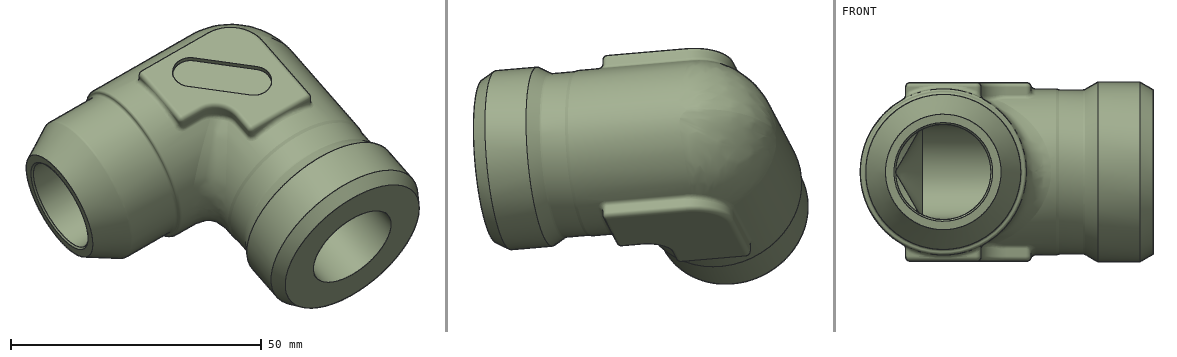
import cadquery as cq
import math

arm_reach = 42.0
body_radius = 33.25 / 2
bend_outer_radius = 15.0
bend_inner_radius = 5.0

body_end_x = 22.55
neck_radius = 32.9 / 2
neck_start = 23.2
neck_end = 28.2
neck_fillet = 0.7
collar_radius = 36.0 / 2
cone_angle = 30.0
collar_end_chamfer = 2.7

body_end_y = 24.1
spigot_radius = 31.0 / 2
spigot_step_round = (body_radius - spigot_radius) / 2
spigot_taper_length = 6.85
spigot_shoulder_fillet = 0.8

bore_radius = 19.0 / 2
bore_overrun_x = 4.15
bore_overrun_y = 0.0
drill_half_angle = 60.0
mouth_chamfer = 0.35

pad_height = 17.9
pad_half_width = 7.55
pad_end = 17.6
pad_outer_corner = 8.0
pad_inner_corner = 5.0
pad_round = 0.95
pad_base_fillet = 0.95

recess_length = 20.0
recess_width = 7.15
recess_depth = 1.0
recess_center = (3.25, -4.45)
recess_angle = 45.0

cone_slope = math.tan(math.radians(cone_angle))


def turned_on_x(points):
    """Solid of revolution about X from a closed outline of (x, radius) points."""
    return cq.Workplane("XY").polyline(points).close().revolve(360, (0, 0), (1, 0))


def arm_to_y(solid):
    """Swing a solid on +X round to -Y."""
    return solid.rotate((0, 0, 0), (0, 0, 1), -90)


def edges_at(solid, point):
    """The edge of the solid nearest to a point."""
    return solid.edges(cq.selectors.NearestToPointSelector(point))


def body_cylinder(start, end):
    return cq.Workplane("YZ", origin=(start, 0, 0)).circle(body_radius).extrude(end - start)


def elbow_cylinders():
    """The two body cylinders, each stopped at the diagonal plane where they meet."""
    far = 4 * body_radius
    start = -2 * body_radius
    arm_x = body_cylinder(start, body_end_x)
    arm_y = arm_to_y(body_cylinder(start, body_end_y - spigot_step_round))
    upper_right = (
        cq.Workplane("XY").polyline([(-far, far), (far, far), (far, -far)]).close().extrude(far, both=True)
    )
    return arm_x.intersect(upper_right).union(arm_y.cut(upper_right))


def pad_prism():
    """One L-shaped prism through the body, showing as a pad at each end."""
    w = pad_half_width
    end = pad_end
    prism = (
        cq.Workplane("XY")
        .polyline([(-w, w), (end, w), (end, -w), (w, -w), (w, -end), (-w, -end)])
        .close()
        .extrude(pad_height, both=True)
    )
    prism = edges_at(prism, (-w, w, 0)).fillet(pad_outer_corner)
    prism = edges_at(prism, (w, -w, 0)).fillet(pad_inner_corner)
    for x, y in [(end, w), (end, -w), (w, -end), (-w, -end)]:
        prism = edges_at(prism, (x, y, 0)).fillet(pad_round)
    return prism.faces("|Z").edges().fillet(pad_round)


def blend_pad_bases(solid):
    """Fillet the smooth loops where the pad walls run into the round body."""
    base_height = math.sqrt(body_radius**2 - pad_half_width**2)
    for z in (base_height, -base_height):
        solid = edges_at(solid, (-pad_half_width, -pad_end / 2, z)).fillet(pad_base_fillet)
    return solid


def collared_end():
    """Neck and coned collar, turned about X."""
    collar_start = neck_end + (collar_radius - neck_radius) / cone_slope
    end = turned_on_x(
        [
            (0, 0),
            (0, bore_radius),
            (body_end_x, bore_radius),
            (body_end_x, body_radius),
            (neck_start, neck_radius),
            (neck_end, neck_radius),
            (collar_start, collar_radius),
            (arm_reach - collar_end_chamfer, collar_radius),
            (arm_reach, collar_radius - collar_end_chamfer * cone_slope),
            (arm_reach, 0),
        ]
    )
    return edges_at(end, (neck_end, 0, 0)).fillet(neck_fillet)


def spigot_end():
    """Rounded step down from the body and tapered spigot, turned about -Y."""
    taper_start = arm_reach - spigot_taper_length
    tip_radius = spigot_radius - spigot_taper_length * cone_slope
    r = spigot_step_round
    end = (
        cq.Workplane("XY")
        .lineTo(0, bore_radius)
        .lineTo(body_end_y - r, bore_radius)
        .lineTo(body_end_y - r, body_radius)
        .radiusArc((body_end_y, body_radius - r), r)
        .radiusArc((body_end_y + r, spigot_radius), -r)
        .lineTo(taper_start, spigot_radius)
        .lineTo(arm_reach, tip_radius)
        .lineTo(arm_reach, 0)
        .close()
        .revolve(360, (0, 0), (1, 0))
    )
    end = edges_at(end, (taper_start, 0, 0)).fillet(spigot_shoulder_fillet)
    return arm_to_y(end)


def bore(overrun):
    """Drilled hole along X from the arm's mouth to a pointed end past the crossing."""
    tip_length = bore_radius / math.tan(math.radians(drill_half_angle))
    return turned_on_x(
        [
            (-overrun - tip_length, 0),
            (-overrun, bore_radius),
            (arm_reach, bore_radius),
            (arm_reach, 0),
        ]
    )


def pad_recess():
    return (
        cq.Workplane("XY", origin=(*recess_center, pad_height - recess_depth))
        .transformed(rotate=(0, 0, recess_angle))
        .slot2D(recess_length, recess_width)
        .extrude(2 * recess_depth)
    )


body = elbow_cylinders().union(pad_prism())
mitre_middle = 0.75 * body_radius
body = edges_at(body, (-mitre_middle, mitre_middle, 0)).fillet(bend_outer_radius)
body = edges_at(body, (mitre_middle, -mitre_middle, 0)).fillet(bend_inner_radius)
body = blend_pad_bases(body)
body = body.union(collared_end()).union(spigot_end())

body = body.cut(bore(bore_overrun_x)).cut(arm_to_y(bore(bore_overrun_y))).cut(pad_recess())

spigot_mouth = body.faces("<Y").edges(cq.selectors.RadiusNthSelector(0))
result = spigot_mouth.chamfer(mouth_chamfer)